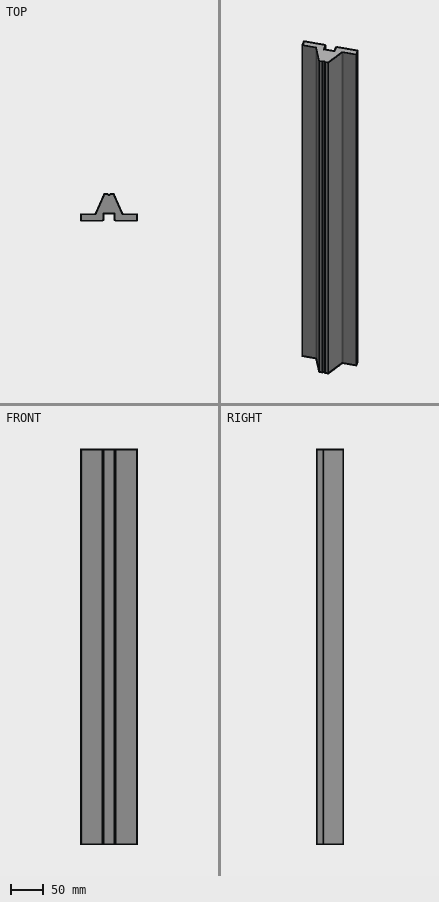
import cadquery as cq

length = 599.5
base_width = 85.0
total_height = 41.0
flange_thickness = 10.0
ridge_base_width = 41.5
ridge_top_width = 14.5
slot_width = 16.0
slot_depth = 11.0
groove_width = 5.0
groove_depth = 2.0
outer_edge_radius = 1.0
slot_edge_chamfer = 2.0
ridge_foot_radius = 1.0

bottom = -total_height / 2
top = total_height / 2
flange_top = bottom + flange_thickness
slot_roof = bottom + slot_depth

half_base = base_width / 2
half_slot = slot_width / 2
half_ridge_foot = ridge_base_width / 2


def make_rail():
    """Extrude the symmetric rail: flat flanges, tapered ridge and chamfered bottom slot."""
    half_outline = [
        (0, slot_roof),
        (half_slot, slot_roof),
        (half_slot, bottom + slot_edge_chamfer),
        (half_slot + slot_edge_chamfer, bottom),
        (half_base, bottom),
        (half_base, flange_top),
        (half_ridge_foot, flange_top),
        (ridge_top_width / 2, top),
        (groove_width / 2, top),
        (0, top - groove_depth),
    ]
    half_profile = cq.Workplane("XY").workplane(offset=-length / 2).polyline(half_outline).close()
    half_rail = half_profile.extrude(length)
    return half_rail.union(half_rail.mirror("YZ")).clean()


def round_edge_pair(rail, x, y, radius):
    """Round the two lengthwise edges that pass through (x, y) and (-x, y)."""
    for side in (-1, 1):
        edge = cq.selectors.NearestToPointSelector((side * x, y, 0))
        rail = rail.edges(edge).fillet(radius)
    return rail


result = make_rail()
result = round_edge_pair(result, half_base, bottom, outer_edge_radius)
result = round_edge_pair(result, half_ridge_foot, flange_top, ridge_foot_radius)